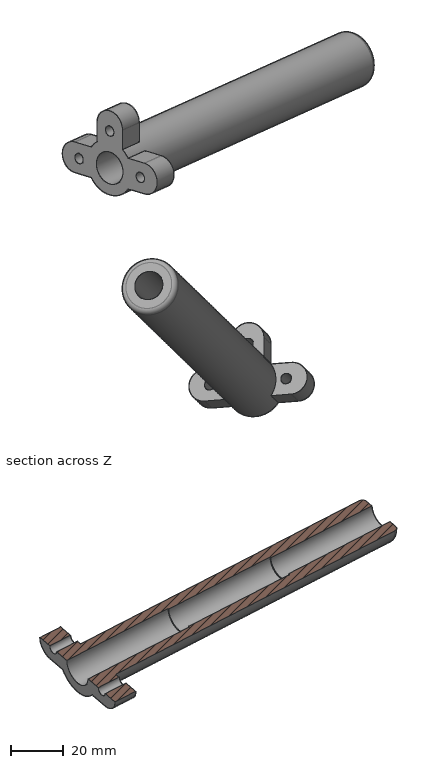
import cadquery as cq

TUBE_LENGTH = 145.0
TUBE_DIAMETER = 22.0
END_FILLET = 2.0

BORE_DIAMETERS = (13.0, 12.15, 11.04)
BORE_STEP_LENGTH = TUBE_LENGTH / len(BORE_DIAMETERS)

EAR_ANGLES = (0, 90, 180)
EAR_THICKNESS = 10.0
EAR_WIDTH = 12.5
EAR_REACH = 23.25
SCREW_HOLE_OFFSET = 15.0
SCREW_HOLE_DIAMETER = 4.1


def cylinder(diameter, start, length):
    """Cylinder on the tube axis, running toward +Y from y = start."""
    plane = cq.Workplane("XZ", origin=(0, start, 0))
    return plane.circle(diameter / 2).extrude(-length)


def turned(body, angle):
    """Body turned about the tube axis, from +X toward +Z."""
    return body.rotate((0, 0, 0), (0, 1, 0), -angle)


def tube_body():
    """Solid round bar with its far end rounded."""
    return cylinder(TUBE_DIAMETER, 0, TUBE_LENGTH).faces(">Y").edges().fillet(END_FILLET)


def ear():
    """Round-ended ear reaching from the tube axis along +X."""
    end_radius = EAR_WIDTH / 2
    straight_length = EAR_REACH - end_radius
    profile = (
        cq.Workplane("XZ")
        .moveTo(0, -end_radius)
        .lineTo(straight_length, -end_radius)
        .threePointArc((EAR_REACH, 0), (straight_length, end_radius))
        .lineTo(0, end_radius)
        .close()
    )
    return profile.extrude(-EAR_THICKNESS)


def screw_hole():
    """Cutter for the screw hole through the ear along +X."""
    return cylinder(SCREW_HOLE_DIAMETER, 0, EAR_THICKNESS).translate((SCREW_HOLE_OFFSET, 0, 0))


def stepped_bore():
    """Cutter for the through bore, narrowing in steps toward the far end."""
    bore = cq.Workplane("XZ")
    for index, diameter in enumerate(BORE_DIAMETERS):
        bore = bore.union(cylinder(diameter, index * BORE_STEP_LENGTH, BORE_STEP_LENGTH))
    return bore


result = tube_body()
for ear_angle in EAR_ANGLES:
    result = result.union(turned(ear(), ear_angle))
result = result.cut(stepped_bore())
for ear_angle in EAR_ANGLES:
    result = result.cut(turned(screw_hole(), ear_angle))